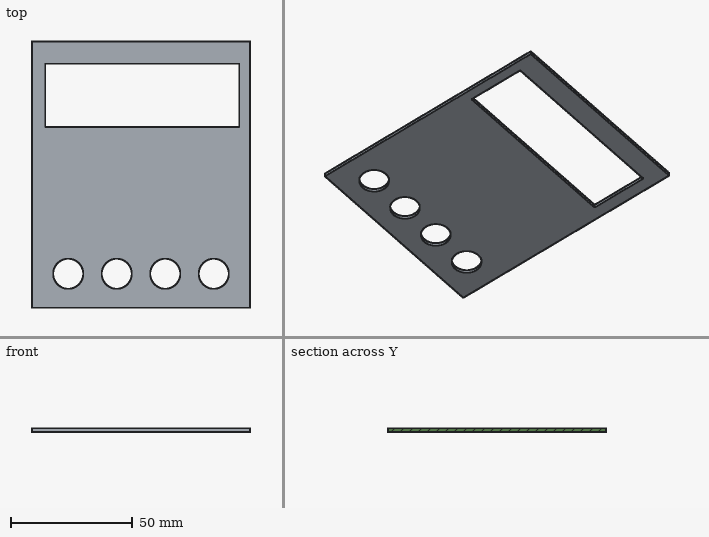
import cadquery as cq

panel_width = 90.0
panel_height = 110.0
panel_thickness = 1.6

window_width = 80.0
window_height = 26.0
window_left_margin = 5.5
window_top_margin = 9.4

button_count = 4
button_diameter = 12.3
button_pitch = 20.0
button_row_height = 14.1

window_x = -panel_width / 2 + window_left_margin + window_width / 2
window_y = panel_height / 2 - window_top_margin - window_height / 2
button_y = -panel_height / 2 + button_row_height

panel = cq.Workplane("XY").box(panel_width, panel_height, panel_thickness)

window_cutter = (
    cq.Workplane("XY")
    .center(window_x, window_y)
    .box(window_width, window_height, 2 * panel_thickness)
)

button_cutters = (
    cq.Workplane("XY")
    .center(0, button_y)
    .rarray(button_pitch, 1.1, button_count, 1)
    .circle(button_diameter / 2)
    .extrude(panel_thickness, both=True)
)

result = panel.cut(window_cutter).cut(button_cutters)